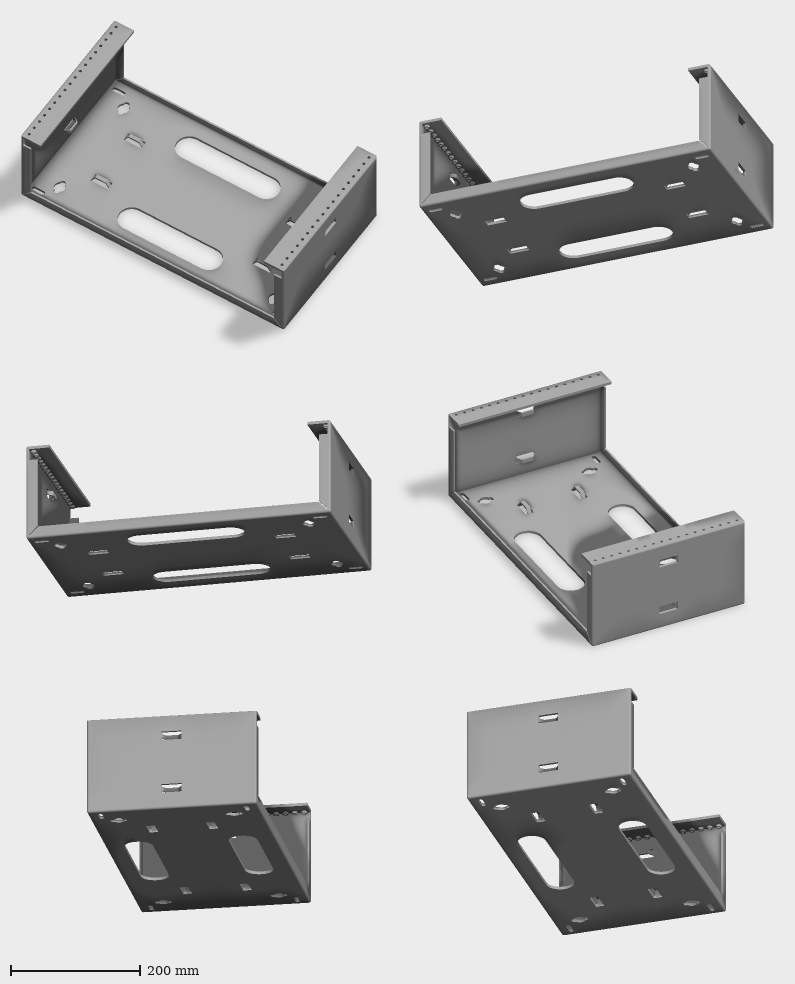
import cadquery as cq
import math

LENGTH = 486.0
WIDTH = 267.0
HEIGHT = 152.0
SHEET = 4.6
OUTER_BEND = 3.15

EDGE_FLANGE_WIDTH = 18.5
EDGE_FLANGE_THICKNESS = 3.0
EDGE_FLANGE_BEND = 2.5
EDGE_FLANGE_DROP = 22.5
MITER_GAP = 0.75
RACK_FLANGE_WIDTH = 37.0

RACK_HOLE_COUNT = 18
RACK_HOLE_PITCH = 14.5
RACK_HOLE_DIAMETER = 5.0
RACK_HOLE_INSET = 9.5
COLLAR_DIAMETER = 8.7
COLLAR_HEIGHT = 3.5

OPENING_LENGTH = 186.5
OPENING_WIDTH = 44.5
OPENING_Y = 82.0

KEYHOLE_DIAMETER = 18.5
KEYHOLE_SLOT_LENGTH = 26.5
KEYHOLE_SLOT_WIDTH = 9.5
KEYHOLE_X = 198.5
KEYHOLE_Y = 91.0

CORNER_SLOT_LENGTH = 22.5
CORNER_SLOT_WIDTH = 7.5
CORNER_SLOT_SHIFT = 24.0

LANCE_LENGTH = 31.5
LANCE_WIDTH = 13.5
BRIDGE_WIDTH = 7.0
BRIDGE_RISE = 8.5
BRIDGE_THICKNESS = 3.0
BRIDGE_RAMP = 6.5
FLOOR_LANCE_X = 149.0
FLOOR_LANCE_Y = 47.0
WALL_LANCE_MARGIN = 33.0

SIDES = (-1, 1)
WALL_X = LENGTH / 2


def make_shell():
    """Closed sheet box, rounded where it folds; the top edges along X stay sharp."""
    outer = cq.Workplane("XY").box(LENGTH, WIDTH, HEIGHT, centered=(True, True, False))
    outer = outer.edges("|Z or |Y or <Z").fillet(OUTER_BEND)
    cavity = (
        cq.Workplane("XY")
        .workplane(offset=SHEET)
        .box(
            LENGTH - 2 * SHEET,
            WIDTH - 2 * EDGE_FLANGE_THICKNESS,
            HEIGHT - 2 * SHEET,
            centered=(True, True, False),
        )
        .faces("<Y or >Y")
        .edges("|Z or <Z")
        .fillet(EDGE_FLANGE_BEND)
    )
    return outer.cut(cavity)


def make_openings():
    """Space between the rack flanges, the open front and back, and the flange end notches."""
    roof_gap = cq.Workplane("XY").workplane(offset=HEIGHT - SHEET).box(
        LENGTH - 2 * RACK_FLANGE_WIDTH, WIDTH, SHEET, centered=(True, True, False)
    )
    top = HEIGHT - SHEET
    shoulder = HEIGHT - EDGE_FLANGE_DROP
    flange_x = WALL_X - EDGE_FLANGE_WIDTH
    notch_x = WALL_X - SHEET
    face_gap = (
        cq.Workplane("XZ")
        .polyline(
            [
                (-flange_x, EDGE_FLANGE_WIDTH),
                (flange_x, EDGE_FLANGE_WIDTH),
                (flange_x, shoulder),
                (notch_x, shoulder),
                (notch_x, top),
                (-notch_x, top),
                (-notch_x, shoulder),
                (-flange_x, shoulder),
            ]
        )
        .close()
        .extrude(WIDTH / 2, both=True)
    )
    return roof_gap.union(face_gap)


def make_miter_gap(side):
    """45-degree slit between the edge flanges at one lower corner, clear of wall and floor."""
    half_gap = MITER_GAP / math.sqrt(2)
    start = SHEET + half_gap
    end = EDGE_FLANGE_WIDTH + MITER_GAP
    return (
        cq.Workplane("XZ")
        .polyline(
            [
                (side * (WALL_X - start + half_gap), start + half_gap),
                (side * (WALL_X - start - half_gap), start - half_gap),
                (side * (WALL_X - end - half_gap), end - half_gap),
                (side * (WALL_X - end + half_gap), end + half_gap),
            ]
        )
        .close()
        .extrude(WIDTH / 2, both=True)
    )


def add_rack_holes(body):
    """Row of holes with collars in each rack flange; collars overlap into the sheet to fuse."""
    row_length = (RACK_HOLE_COUNT - 1) * RACK_HOLE_PITCH
    spots = [
        (side * (WALL_X - RACK_HOLE_INSET), index * RACK_HOLE_PITCH - row_length / 2)
        for side in SIDES
        for index in range(RACK_HOLE_COUNT)
    ]
    depth = SHEET + COLLAR_HEIGHT
    plane = cq.Workplane("XY").workplane(offset=HEIGHT - depth)
    collars = plane.pushPoints(spots).circle(COLLAR_DIAMETER / 2).extrude(COLLAR_HEIGHT + SHEET / 2)
    holes = plane.pushPoints(spots).circle(RACK_HOLE_DIAMETER / 2).extrude(depth)
    return body.union(collars).cut(holes)


def make_floor_cuts():
    """Long openings, keyholes and corner slots through the floor."""
    floor = cq.Workplane("XY")
    opening_spots = [(0, side * OPENING_Y) for side in SIDES]
    keyhole_spots = [(side_x * KEYHOLE_X, side_y * KEYHOLE_Y) for side_x in SIDES for side_y in SIDES]
    corner_x = KEYHOLE_X + CORNER_SLOT_SHIFT
    corner_y = KEYHOLE_Y + CORNER_SLOT_SHIFT
    corner_spots = [(side_x * corner_x, side_y * corner_y) for side_x in SIDES for side_y in SIDES]

    openings = floor.pushPoints(opening_spots).slot2D(OPENING_LENGTH, OPENING_WIDTH).extrude(SHEET)
    holes = floor.pushPoints(keyhole_spots).circle(KEYHOLE_DIAMETER / 2).extrude(SHEET)
    slots = floor.pushPoints(keyhole_spots).slot2D(KEYHOLE_SLOT_LENGTH, KEYHOLE_SLOT_WIDTH, 90).extrude(SHEET)
    corners = floor.pushPoints(corner_spots).slot2D(CORNER_SLOT_LENGTH, CORNER_SLOT_WIDTH).extrude(SHEET)
    return openings.union(holes).union(slots).union(corners)


def add_lance(body, plane):
    """Lance on a plane lying in the outer sheet face, with its normal pointing into the bracket."""
    half = LANCE_LENGTH / 2
    crown = half - BRIDGE_RAMP
    window = cq.Workplane(plane).rect(LANCE_LENGTH, LANCE_WIDTH).extrude(SHEET)
    crest = SHEET + BRIDGE_RISE
    profile = [
        (-half, SHEET),
        (-crown, crest),
        (crown, crest),
        (half, SHEET),
        (half, SHEET - BRIDGE_THICKNESS),
        (crown, crest - BRIDGE_THICKNESS),
        (-crown, crest - BRIDGE_THICKNESS),
        (-half, SHEET - BRIDGE_THICKNESS),
    ]
    side_plane = cq.Plane(plane.origin, plane.xDir, -plane.yDir)
    bridge = cq.Workplane(side_plane).polyline(profile).close().extrude(BRIDGE_WIDTH / 2, both=True)
    return body.cut(window).union(bridge)


def add_lances(body):
    """Four lances in the floor and two in each side wall, all bulging inward."""
    for side_x in SIDES:
        for side_y in SIDES:
            origin = (side_x * FLOOR_LANCE_X, side_y * FLOOR_LANCE_Y, 0)
            body = add_lance(body, cq.Plane(origin, (1, 0, 0), (0, 0, 1)))
        for height in (WALL_LANCE_MARGIN, HEIGHT - WALL_LANCE_MARGIN):
            origin = (side_x * WALL_X, 0, height)
            body = add_lance(body, cq.Plane(origin, (0, 1, 0), (-side_x, 0, 0)))
    return body


result = make_shell().cut(make_openings())
for side in SIDES:
    result = result.cut(make_miter_gap(side))
result = add_rack_holes(result).cut(make_floor_cuts())
result = add_lances(result)